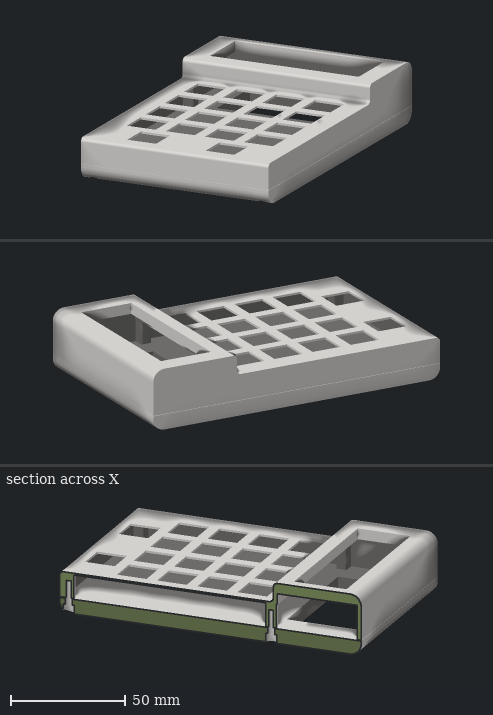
import cadquery as cq
import math

width = 91.1
length = 143.0
height = 28.2
base_top_z = 7.0
seam_gap = 0.1
seam_z = base_top_z + seam_gap
key_deck_z = 19.2
step_y = 29.7
wall = 2.0
key_deck_thickness = 1.0
bezel_thickness = 5.0
large_round = 5.5
small_round = 2.0

front_y = -length / 2
back_y = length / 2

window_width = 72.4
window_length = 24.9
window_y = 50.0

key_size = 14.0
key_pitch = 19.0
top_row_y = 17.6
full_rows = 4
full_columns = (-1.5, -0.5, 0.5, 1.5)
bottom_columns = (-1, 1)

opening_width = 58.0
opening_length = 33.0
opening_x = -0.6
opening_y = 47.5

boss_size = 5.1
boss_round = 1.0
boss_x = 40.9
front_boss_y = -67.0
rear_boss_y = 28.7
screw_pilot_diameter = 2.0
screw_pilot_depth = 8.0
screw_clearance_diameter = 3.0
screw_head_diameter = 5.0
screw_head_depth = 4.0

boss_places = [(side * boss_x, y) for side in (-1, 1) for y in (front_boss_y, rear_boss_y)]
key_places = [
    (column * key_pitch, top_row_y - row * key_pitch)
    for row in range(full_rows)
    for column in full_columns
]
key_places += [(column * key_pitch, top_row_y - full_rows * key_pitch) for column in bottom_columns]


def block(x_size, y_range, z_range):
    """Box centred on X that spans the given Y and Z ranges."""
    y_size = y_range[1] - y_range[0]
    z_size = z_range[1] - z_range[0]
    corner = (-x_size / 2, y_range[0], z_range[0])
    return cq.Workplane("XY").box(x_size, y_size, z_size, centered=False).translate(corner)


def arc_middle(center_y, center_z, radius, degrees):
    """Point on a round, measured from +Y towards +Z."""
    angle = math.radians(degrees)
    return (center_y + radius * math.cos(angle), center_z + radius * math.sin(angle))


def lid_shell():
    """Stepped outer block with rounded edges along X."""
    big, small = large_round, small_round
    profile = (
        cq.Workplane("YZ", origin=(-width / 2, 0, 0))
        .moveTo(front_y, seam_z)
        .lineTo(back_y, seam_z)
        .lineTo(back_y, height - big)
        .threePointArc(arc_middle(back_y - big, height - big, big, 45), (back_y - big, height))
        .lineTo(step_y + small, height)
        .threePointArc(
            arc_middle(step_y + small, height - small, small, 135), (step_y, height - small)
        )
        .lineTo(step_y, key_deck_z + small)
        .threePointArc(
            arc_middle(step_y - small, key_deck_z + small, small, -45),
            (step_y - small, key_deck_z),
        )
        .lineTo(front_y + small, key_deck_z)
        .threePointArc(
            arc_middle(front_y + small, key_deck_z - small, small, 135),
            (front_y, key_deck_z - small),
        )
        .close()
    )
    return profile.extrude(width)


def lid_cavity():
    """Hollow below the key deck and the display bezel, open at the seam."""
    inner_width = width - 2 * wall
    inner_y = (front_y + wall, back_y - wall)
    under_keys = block(inner_width, inner_y, (seam_z, key_deck_z - key_deck_thickness))
    under_display = block(
        inner_width, (step_y + wall, back_y - wall), (seam_z, height - bezel_thickness)
    )
    return under_keys.union(under_display)


def lid_boss(x, y):
    """Screw boss that runs into the side wall, and at the front also into the front wall."""
    ceiling_z = key_deck_z - key_deck_thickness
    inner_x = abs(x) - boss_size / 2
    outer_x = (width - wall) / 2
    rear_y = y + boss_size / 2
    near_front_wall = y == front_boss_y
    near_y = front_y + wall / 2 if near_front_wall else y - boss_size / 2

    center_x = math.copysign((inner_x + outer_x) / 2, x)
    boss = block(outer_x - inner_x, (near_y, rear_y), (seam_z, ceiling_z)).translate((center_x, 0, 0))
    free_edges = boss.edges("|Z").edges("<X" if x > 0 else ">X")
    if near_front_wall:
        free_edges = free_edges.edges(">Y")
    return free_edges.fillet(boss_round)


def make_lid():
    lid = lid_shell().cut(lid_cavity())

    window = (
        cq.Workplane("XY", origin=(0, window_y, seam_z))
        .rect(window_width, window_length)
        .extrude(height)
    )
    keys = (
        cq.Workplane("XY", origin=(0, 0, seam_z))
        .pushPoints(key_places)
        .rect(key_size, key_size)
        .extrude(height)
    )
    lid = lid.cut(window).cut(keys)

    for x, y in boss_places:
        lid = lid.union(lid_boss(x, y))

    pilots = (
        cq.Workplane("XY", origin=(0, 0, seam_z))
        .pushPoints(boss_places)
        .circle(screw_pilot_diameter / 2)
        .extrude(screw_pilot_depth)
    )
    return lid.cut(pilots)


def make_base():
    base = block(width, (front_y, back_y), (0, base_top_z))
    base = base.edges("|X and <Z").fillet(large_round)

    opening = (
        cq.Workplane("XY", origin=(opening_x, opening_y, 0))
        .rect(opening_width, opening_length)
        .extrude(base_top_z)
    )
    clearance = (
        cq.Workplane("XY")
        .pushPoints(boss_places)
        .circle(screw_clearance_diameter / 2)
        .extrude(base_top_z)
    )
    heads = (
        cq.Workplane("XY")
        .pushPoints(boss_places)
        .circle(screw_head_diameter / 2)
        .extrude(screw_head_depth)
    )
    return base.cut(opening).cut(clearance).cut(heads)


lid = make_lid()
base = make_base()

result = cq.Compound.makeCompound([lid.val(), base.val()])